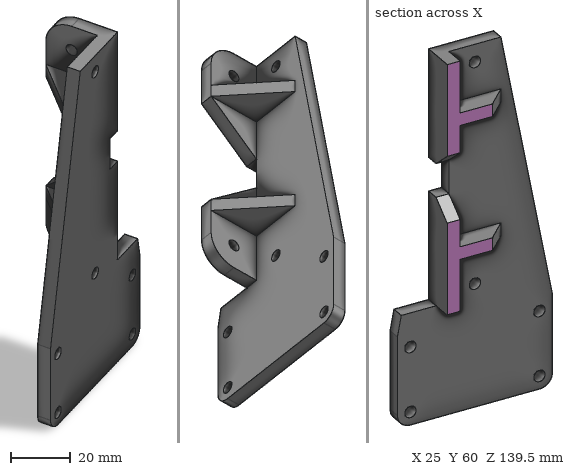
import cadquery as cq

height = 139.5
base_width = 60.0
overall_depth = 25.0
wall = 5.0
hole_diameter = 4.3

shoulder_height = 35.3
notch_height = 43.1
top_edge_y = -10.0
flange_outer_y = 15.0
corner_radius = 5.0
base_hole_inset = 5.0
base_hole_rise = 25.0
upper_hole_drop = 6.8
lower_hole_z = 47.4

flange_reach = overall_depth - wall
flange_inner_y = flange_outer_y - wall
flange_radius = 10.0
rib_distance = 20.0
taper_height = 16.7

half_width = base_width / 2
through_length = 2 * overall_depth


def make_plate():
    taper_slope = (half_width + top_edge_y) / (height - shoulder_height)
    notch_y = half_width - (notch_height - shoulder_height) * taper_slope
    outline = [
        (-half_width, 0),
        (half_width, 0),
        (half_width, shoulder_height),
        (notch_y, notch_height),
        (flange_inner_y, notch_height),
        (flange_inner_y, height),
        (top_edge_y, height),
        (-half_width, shoulder_height),
    ]
    plate = cq.Workplane("YZ").polyline(outline).close().extrude(wall)
    return plate.edges("|X and <Z").fillet(corner_radius)


def make_plate_holes():
    hole_y = half_width - base_hole_inset
    centres = [(0, lower_hole_z), (0, height - upper_hole_drop)]
    for y in (-hole_y, hole_y):
        for z in (base_hole_inset, base_hole_inset + base_hole_rise):
            centres.append((y, z))
    return (
        cq.Workplane("YZ")
        .workplane(offset=-overall_depth)
        .pushPoints(centres)
        .circle(hole_diameter / 2)
        .extrude(through_length)
    )


def make_bracket(end_z, direction):
    """Flange with its rib; direction is the Z sign leading from the flange end to its taper."""
    def level(distance):
        return end_z + direction * distance

    rib_far = rib_distance + wall
    taper_end = level(rib_far + taper_height)
    arc_offset = flange_radius * (1 - 0.5 ** 0.5)
    flange = (
        cq.Workplane("XZ", origin=(0, flange_outer_y, 0))
        .moveTo(wall, end_z)
        .lineTo(flange_radius - flange_reach, end_z)
        .threePointArc(
            (arc_offset - flange_reach, level(arc_offset)),
            (-flange_reach, level(flange_radius)),
        )
        .lineTo(-flange_reach, level(rib_far))
        .lineTo(0, taper_end)
        .lineTo(wall, taper_end)
        .close()
        .extrude(wall)
    )
    hole = (
        cq.Workplane("XZ", origin=(0, flange_outer_y, 0))
        .center(flange_radius - flange_reach, level(flange_radius))
        .circle(hole_diameter / 2)
        .extrude(wall)
    )
    rib_outline = [
        (0, flange_inner_y),
        (-flange_reach, flange_inner_y),
        (0, top_edge_y),
    ]
    rib_bottom = min(level(rib_distance), level(rib_far))
    rib = cq.Workplane("XY", origin=(0, 0, rib_bottom)).polyline(rib_outline).close().extrude(wall)
    return flange.cut(hole).union(rib)


bracket = make_plate().cut(make_plate_holes())
bracket = bracket.union(make_bracket(height, -1))
bracket = bracket.union(make_bracket(notch_height, 1))
result = bracket.clean()